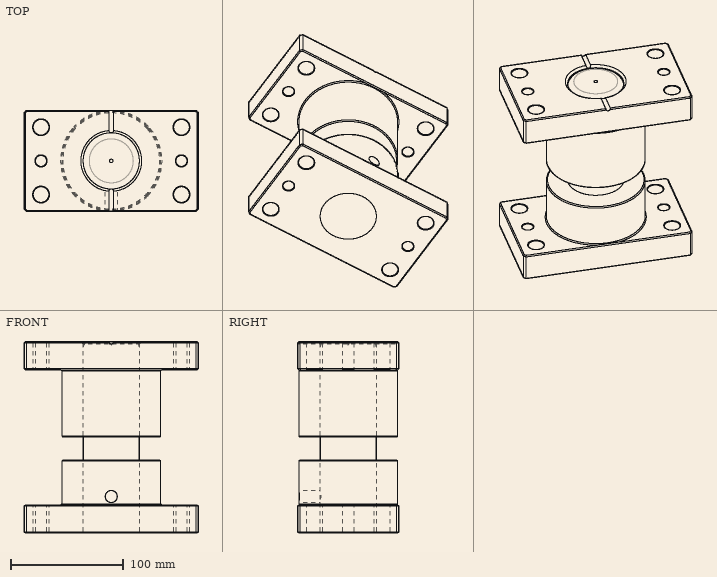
import cadquery as cq

total_height = 170.1
plate_length = 155.0
plate_width = 90.0
plate_thickness = 25.0
plate_corner_chamfer = 2.0
plate_edge_chamfer = 1.0

boss_diameter = 88.0
lower_boss_height = 40.0
boss_gap = 20.2
boss_rim_chamfer = 1.0
boss_root_chamfer = 1.0
upper_boss_height = total_height - 2 * plate_thickness - lower_boss_height - boss_gap

bolt_diameter = 14.0
dowel_diameter = 9.9
hole_chamfer = 0.5
hole_row_offset = 62.5
bolt_side_offset = 30.0

pin_diameter = 50.0
pin_top_fillet = 5.5
bore_mouth_chamfer = 2.0
center_hole_diameter = 3.0
center_hole_depth = 2.7

groove_radius = 2.0

screw_hole_diameter = 10.7
screw_hole_height = 32.5


def cone(mouth_diameter, depth, tip_diameter=0):
    """Cone or frustum with its wide mouth on the XY plane, narrowing upward."""
    return cq.Workplane(cq.Solid.makeCone(mouth_diameter / 2, tip_diameter / 2, depth))


def hole_cutter(diameter):
    """Through hole for a plate resting on the XY plane, chamfered at both mouths."""
    mouth = cone(diameter + 2 * hole_chamfer, hole_chamfer, diameter)
    far_mouth = mouth.mirror("XY").translate((0, 0, plate_thickness))
    drill = cq.Workplane("XY").circle(diameter / 2).extrude(plate_thickness)
    return drill.union(mouth).union(far_mouth)


def flanged_boss(boss_height):
    """Drilled plate resting on the XY plane with a bored boss rising from its middle."""
    plate = (
        cq.Workplane("XY")
        .box(plate_length, plate_width, plate_thickness, centered=(True, True, False))
        .edges("|Z")
        .chamfer(plate_corner_chamfer)
        .faces("<Z or >Z")
        .chamfer(plate_edge_chamfer)
    )
    boss = (
        cq.Workplane("XY")
        .circle(boss_diameter / 2)
        .extrude(plate_thickness + boss_height)
        .faces(">Z")
        .chamfer(boss_rim_chamfer)
    )
    root_ring = cone(boss_diameter + 2 * boss_root_chamfer, boss_root_chamfer, boss_diameter)
    ring_trim = cq.Workplane("XY").box(plate_length, boss_diameter, plate_thickness)
    root_ring = root_ring.intersect(ring_trim).translate((0, 0, plate_thickness))
    body = plate.union(boss).union(root_ring)

    for x in (-hole_row_offset, hole_row_offset):
        for y in (-bolt_side_offset, bolt_side_offset):
            body = body.cut(hole_cutter(bolt_diameter).translate((x, y, 0)))
        body = body.cut(hole_cutter(dowel_diameter).translate((x, 0, 0)))

    bore = cq.Workplane("XY").circle(pin_diameter / 2).extrude(plate_thickness + boss_height)
    return body.cut(bore)


def make_base():
    """Lower plate and boss, with a radial screw hole that stops at the pin."""
    screw_hole = (
        cq.Workplane("XZ")
        .center(0, screw_hole_height)
        .circle(screw_hole_diameter / 2)
        .extrude(plate_width / 2)
    )
    return flanged_boss(lower_boss_height).cut(screw_hole)


def make_head():
    """Upper plate and boss, hanging down, with a chamfered bore mouth and a vent groove."""
    bore_mouth = cone(pin_diameter + 2 * bore_mouth_chamfer, bore_mouth_chamfer, pin_diameter)
    groove = (
        cq.Workplane("XZ")
        .moveTo(-groove_radius, 0)
        .threePointArc((0, groove_radius), (groove_radius, 0))
        .close()
        .extrude(plate_width / 2, both=True)
    )
    head = flanged_boss(upper_boss_height).cut(bore_mouth).cut(groove)
    return head.mirror("XY").translate((0, 0, total_height))


def make_pin():
    """Pin through the full height, rounded at the top and with a small conical center hole."""
    pin = (
        cq.Workplane("XY")
        .circle(pin_diameter / 2)
        .extrude(total_height)
        .faces(">Z")
        .edges()
        .fillet(pin_top_fillet)
    )
    center_hole = cone(center_hole_diameter, center_hole_depth).mirror("XY")
    return pin.cut(center_hole.translate((0, 0, total_height)))


base = make_base()
head = make_head()
pin = make_pin()

result = cq.Compound.makeCompound([body.solids().val() for body in (base, head, pin)])